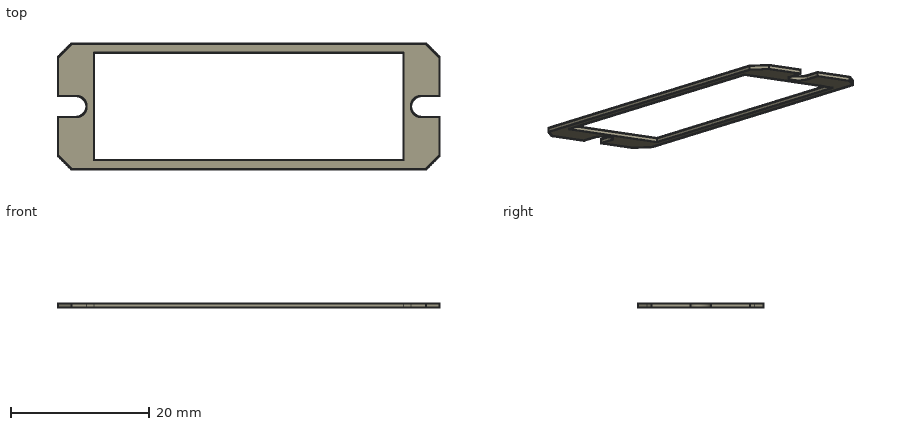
import cadquery as cq

length = 55.3
width = 18.2
thickness = 0.6
corner_chamfer = 2.0

window_length = 44.8
window_width = 15.5

slot_width = 3.0
slot_depth = 4.15


def make_plate():
    """Flat plate with its four corners cut at 45 degrees, centred on the origin."""
    plate = cq.Workplane("XY").box(length, width, thickness)
    return plate.edges("|Z").chamfer(corner_chamfer)


def make_window():
    """Rectangular cutter for the central opening."""
    return cq.Workplane("XY").box(window_length, window_width, thickness)


def make_end_slot(side):
    """Round-ended slot cutter; its straight axis runs along X through the end at side * length / 2."""
    slot_length = 2 * slot_depth
    slot = cq.Workplane("XY").slot2D(slot_length, slot_width).extrude(thickness / 2, both=True)
    return slot.translate((side * length / 2, 0, 0))


result = make_plate().cut(make_window())
for side in (-1, 1):
    result = result.cut(make_end_slot(side))